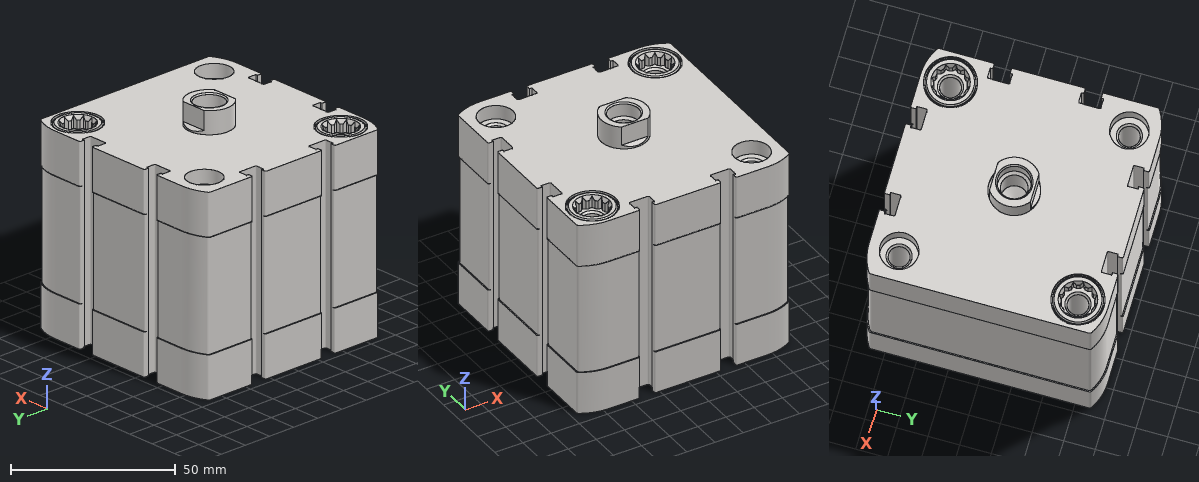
import cadquery as cq
import math

width = 75.5
half_width = width / 2
overall_height = 77.0
rod_projection = 8.0
housing_height = overall_height - rod_projection
cap_height = 15.0
barrel_inset = 0.4

bolt_offset = 28.25
corner_radius = 17.5
corner_edge_radius = 1.0

slot_offset = 14.4
slot_mouth_width = 5.4
slot_mouth_radius = 0.5
slot_mouth_depth = 1.85
slot_inner_width = 7.0
slot_depth = 5.15
slot_floor_radius = 0.5

through_diameter = 6.6
counterbore_diameter = 12.0
counterbore_depth = 4.9
seat_chamfer_diameter = 7.9
seat_chamfer_depth = (seat_chamfer_diameter - through_diameter) / 2

groove_outer_diameter = 16.4
groove_inner_diameter = 15.5
groove_depth = 0.8
groove_chamfer = 0.5
socket_point_diameter = 11.7
socket_core_diameter = 10.2
socket_depth = 4.5
socket_leadin_diameter = 12.0
socket_leadin_end_diameter = 10.25
socket_leadin_depth = 1.55

rod_diameter = 16.0
rod_radius = rod_diameter / 2
rod_seat_depth = cap_height
rod_flat_half = 6.51
flat_start = 1.4
flat_slope = math.radians(30)
rod_bore_diameter = 10.5
rod_bore_depth = 4.9
rod_mouth_chamfer = 0.5
rod_drill_diameter = 8.4
rod_drill_depth = 15.4
drill_half_angle = math.radians(59)


def housing_section(inset, bottom, height):
    """Solid slice of the housing whose outline is shrunk by `inset`."""
    half = half_width - inset
    radius = corner_radius - inset
    centre_y = half_width - corner_radius
    side_y = centre_y + math.sqrt(radius**2 - (half - bolt_offset) ** 2)
    mid_angle = (math.pi / 2 + math.atan2(side_y - centre_y, half - bolt_offset)) / 2
    mid_x = bolt_offset + radius * math.cos(mid_angle)
    mid_y = centre_y + radius * math.sin(mid_angle)
    block = (
        cq.Workplane("XY", origin=(0, 0, bottom))
        .moveTo(-bolt_offset, half)
        .lineTo(bolt_offset, half)
        .threePointArc((mid_x, mid_y), (half, side_y))
        .lineTo(half, -side_y)
        .threePointArc((mid_x, -mid_y), (bolt_offset, -half))
        .lineTo(-bolt_offset, -half)
        .threePointArc((-mid_x, -mid_y), (-half, -side_y))
        .lineTo(-half, side_y)
        .threePointArc((-mid_x, mid_y), (-bolt_offset, half))
        .close()
        .extrude(height)
        .edges("|Z and (>X or <X)")
        .fillet(corner_edge_radius)
    )
    for side_angle in (0, 90, 180):
        for offset in (-slot_offset, slot_offset):
            slot = t_slot(half, offset, bottom, height)
            block = block.cut(slot.rotate((0, 0, 0), (0, 0, 1), side_angle))
    return block


def t_slot(face, offset, bottom, height):
    """T-slot cutter opening on the plane Y = face, with rounded mouth edges and floor corners."""
    mouth = slot_mouth_width / 2
    inner = slot_inner_width / 2
    step_y = half_width - slot_mouth_depth
    floor_y = half_width - slot_depth
    return (
        cq.Workplane("XY", origin=(offset, 0, bottom))
        .moveTo(-mouth - slot_mouth_radius, face)
        .radiusArc((-mouth, face - slot_mouth_radius), slot_mouth_radius)
        .lineTo(-mouth, step_y)
        .lineTo(-inner, step_y)
        .lineTo(-inner, floor_y)
        .lineTo(inner, floor_y)
        .lineTo(inner, step_y)
        .lineTo(mouth, step_y)
        .lineTo(mouth, face - slot_mouth_radius)
        .radiusArc((mouth + slot_mouth_radius, face), slot_mouth_radius)
        .close()
        .extrude(height)
        .edges("|Z and <Y")
        .fillet(slot_floor_radius)
    )


def revolved(profile):
    """Solid of revolution about Z from (radius, height) points."""
    return cq.Workplane("XZ").polyline(profile).close().revolve(360, (0, 0, 0), (0, 1, 0))


def through_hole(seat_depth):
    """Bolt hole with a chamfered mouth, below a seat at the given depth."""
    hole = through_diameter / 2
    mouth = seat_chamfer_diameter / 2
    return revolved([
        (0, -housing_height),
        (hole, -housing_height),
        (hole, -seat_depth - seat_chamfer_depth),
        (mouth, -seat_depth),
        (0, -seat_depth),
    ])


def counterbored_hole():
    """Cutter for a plain counterbored corner hole, its mouth at Z = 0."""
    bore = cq.Workplane("XY").circle(counterbore_diameter / 2).extrude(-counterbore_depth)
    return bore.union(through_hole(counterbore_depth))


def socket_hole():
    """Cutter for a twelve-point socket with its groove and bolt hole, its mouth at Z = 0."""
    socket = cq.Workplane("XY").circle(socket_core_diameter / 2).extrude(-socket_depth)
    square = cq.Workplane("XY").polygon(4, socket_point_diameter).extrude(-socket_depth)
    for angle in (0, 30, 60):
        socket = socket.union(square.rotate((0, 0, 0), (0, 0, 1), angle))
    leadin = revolved([
        (0, 0),
        (socket_leadin_diameter / 2, 0),
        (socket_leadin_end_diameter / 2, -socket_leadin_depth),
        (0, -socket_leadin_depth),
    ])
    groove_inner = groove_inner_diameter / 2
    groove_outer = groove_outer_diameter / 2
    groove = revolved([
        (groove_inner - groove_chamfer, 0),
        (groove_outer, 0),
        (groove_outer, -groove_depth),
        (groove_inner, -groove_depth),
        (groove_inner, -groove_chamfer),
    ])
    return socket.union(leadin).union(through_hole(socket_depth)).union(groove)


def make_housing():
    barrel_height = housing_height - 2 * cap_height
    body = housing_section(0, 0, cap_height)
    body = body.union(housing_section(barrel_inset, cap_height, barrel_height))
    body = body.union(housing_section(0, housing_height - cap_height, cap_height))
    for side in (-1, 1):
        socket_place = (side * bolt_offset, side * bolt_offset, housing_height)
        plain_place = (side * bolt_offset, -side * bolt_offset, housing_height)
        body = body.cut(socket_hole().translate(socket_place))
        body = body.cut(counterbored_hole().translate(plain_place))
    rod_seat = (
        cq.Workplane("XY", origin=(0, 0, housing_height))
        .circle(rod_radius)
        .extrude(-rod_seat_depth)
    )
    return body.cut(rod_seat)


def rod_flat():
    """Cutter for the +Y wrench flat, whose lower end slopes down and outwards."""
    slope_drop = (rod_radius - rod_flat_half) * math.tan(flat_slope)
    start_z = housing_height + flat_start
    return (
        cq.Workplane("YZ")
        .moveTo(rod_flat_half, overall_height)
        .lineTo(rod_flat_half, start_z)
        .lineTo(rod_radius, start_z - slope_drop)
        .lineTo(rod_radius, overall_height)
        .close()
        .extrude(rod_radius, both=True)
    )


def rod_bore():
    """Cutter for the stepped blind bore in the rod end, its mouth at Z = 0."""
    bore = rod_bore_diameter / 2
    drill = rod_drill_diameter / 2
    return revolved([
        (0, 0),
        (bore + rod_mouth_chamfer, 0),
        (bore, -rod_mouth_chamfer),
        (bore, -rod_bore_depth),
        (drill, -rod_bore_depth - (bore - drill) / math.tan(drill_half_angle)),
        (drill, -rod_drill_depth),
        (0, -rod_drill_depth - drill / math.tan(drill_half_angle)),
    ])


def make_rod():
    rod = (
        cq.Workplane("XY", origin=(0, 0, housing_height - rod_seat_depth))
        .circle(rod_radius)
        .extrude(rod_seat_depth + rod_projection)
    )
    for angle in (0, 180):
        rod = rod.cut(rod_flat().rotate((0, 0, 0), (0, 0, 1), angle))
    return rod.cut(rod_bore().translate((0, 0, overall_height)))


housing = make_housing()
piston_rod = make_rod()
result = cq.Compound.makeCompound([housing.val(), piston_rod.val()])